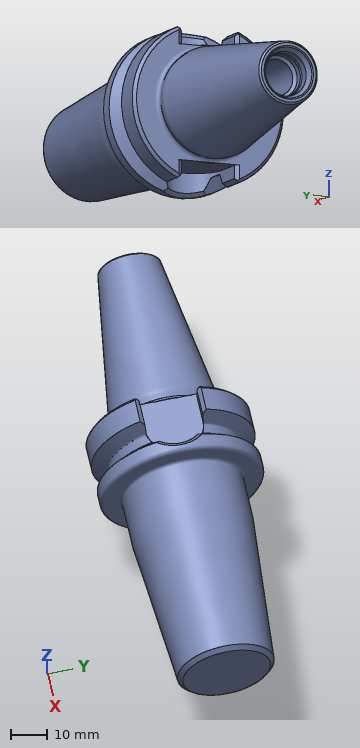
import cadquery as cq
import math


taper_ratio = 7 / 24
gauge_radius = 31.75 / 2
gauge_x = 48.4
taper_end_x = 46.5
tail_chamfer = 0.5
total_length = gauge_x + 80.0

relief_radius = 15.3
relief_start_x = 47.6
relief_fillet = 1.2

flange_radius = 23.0
flange_start_x = gauge_x + 2.0
flange_end_x = gauge_x + 22.0
flange_front_chamfer = 0.9
flange_rear_fillet = 1.2
groove_radius = 18.9
groove_rim_start_x = 58.05
groove_rim_end_x = 65.9
groove_wall_angle = math.radians(30.0)
groove_fillet = 0.5

nose_radius = 17.0
nose_cone_x = 83.9
nose_cone_angle = math.radians(4.5)
nose_chamfer = 1.2
nose_root_fillet = 0.8

keyway_width = 16.2
keyway_half = keyway_width / 2
keyway_floor_z = 16.2
keyway_end_x = 67.3
keyway_chamfer = 1.15
lead_in_length = 0.8

mouth_radius = 7.5
mouth_cone_radius = 7.1
mouth_depth = 0.2
pilot_radius = 6.25
pilot_start_x = 2.0
pilot_end_x = 4.7
thread_radius = 6.0
thread_start_x = 5.2
thread_end_x = 7.2
core_radius = 5.1
core_depth = 34.0
drill_tip_angle = math.radians(118.0)

pick_margin = 0.01


def taper_radius(x):
    return gauge_radius - (gauge_x - x) * taper_ratio / 2


def nose_cone_radius(x):
    return nose_radius - (x - nose_cone_x) * math.tan(nose_cone_angle)


def revolve_about_x(profile):
    return profile.close().revolve(360, (0, 0, 0), (1, 0, 0))


def make_body():
    groove_run = (flange_radius - groove_radius) * math.tan(groove_wall_angle)
    floor_start_x = groove_rim_start_x + groove_run
    floor_end_x = groove_rim_end_x - groove_run
    fillet_reach = groove_fillet * math.tan((math.pi / 2 - groove_wall_angle) / 2)
    wall_run = fillet_reach * math.sin(groove_wall_angle)
    wall_end_radius = groove_radius + fillet_reach * math.cos(groove_wall_angle)

    nose_chamfer_x = total_length - nose_chamfer
    profile = (
        cq.Workplane("XY")
        .moveTo(0, 0)
        .lineTo(0, taper_radius(0) - tail_chamfer)
        .lineTo(tail_chamfer, taper_radius(tail_chamfer))
        .lineTo(taper_end_x, taper_radius(taper_end_x))
        .lineTo(relief_start_x, taper_radius(taper_end_x))
        .lineTo(flange_start_x - relief_fillet, relief_radius)
        .radiusArc((flange_start_x, relief_radius + relief_fillet), -relief_fillet)
        .lineTo(flange_start_x, flange_radius - flange_front_chamfer)
        .lineTo(flange_start_x + flange_front_chamfer, flange_radius)
        .lineTo(groove_rim_start_x, flange_radius)
        .lineTo(floor_start_x - wall_run, wall_end_radius)
        .radiusArc((floor_start_x + fillet_reach, groove_radius), -groove_fillet)
        .lineTo(floor_end_x - fillet_reach, groove_radius)
        .radiusArc((floor_end_x + wall_run, wall_end_radius), -groove_fillet)
        .lineTo(groove_rim_end_x, flange_radius)
        .lineTo(flange_end_x - flange_rear_fillet, flange_radius)
        .radiusArc((flange_end_x, flange_radius - flange_rear_fillet), flange_rear_fillet)
        .lineTo(flange_end_x, nose_radius + nose_root_fillet)
        .radiusArc((flange_end_x + nose_root_fillet, nose_radius), -nose_root_fillet)
        .lineTo(nose_cone_x, nose_radius)
        .lineTo(nose_chamfer_x, nose_cone_radius(nose_chamfer_x))
        .lineTo(total_length, nose_cone_radius(total_length) - nose_chamfer)
        .lineTo(total_length, 0)
    )
    return revolve_about_x(profile)


def make_bore():
    tip_length = core_radius / math.tan(drill_tip_angle / 2)
    core_start_x = thread_end_x + thread_radius - core_radius
    profile = (
        cq.Workplane("XY")
        .moveTo(0, 0)
        .lineTo(0, mouth_radius)
        .lineTo(mouth_depth, mouth_cone_radius)
        .lineTo(pilot_start_x, pilot_radius)
        .lineTo(pilot_end_x, pilot_radius)
        .lineTo(thread_start_x, thread_radius)
        .lineTo(thread_end_x, thread_radius)
        .lineTo(core_start_x, core_radius)
        .lineTo(core_depth, core_radius)
        .lineTo(core_depth + tip_length, 0)
    )
    return revolve_about_x(profile)


def make_keyway():
    """Straight slot open at the flange's front face, with a round rear end."""
    arc_x = keyway_end_x - keyway_half
    return (
        cq.Workplane("XY", origin=(0, 0, keyway_floor_z))
        .moveTo(flange_start_x, -keyway_half)
        .lineTo(arc_x, -keyway_half)
        .threePointArc((keyway_end_x, 0), (arc_x, keyway_half))
        .lineTo(flange_start_x, keyway_half)
        .close()
        .extrude(flange_radius - keyway_floor_z)
    )


def make_keyway_bevels():
    """Chamfers along the keyway's straight top edges and its front corners."""
    bevel_half = keyway_half + keyway_chamfer
    bevel_top_z = math.sqrt(flange_radius**2 - bevel_half**2)
    bevel_bottom_z = bevel_top_z - keyway_chamfer
    top_bevel = (
        cq.Workplane("YZ", origin=(flange_start_x, 0, 0))
        .moveTo(-keyway_half, bevel_bottom_z)
        .lineTo(keyway_half, bevel_bottom_z)
        .lineTo(bevel_half, bevel_top_z)
        .lineTo(bevel_half, flange_radius)
        .lineTo(-bevel_half, flange_radius)
        .lineTo(-bevel_half, bevel_top_z)
        .close()
        .extrude(keyway_end_x - keyway_half - flange_start_x)
    )
    lead_in_x = flange_start_x + lead_in_length
    lead_in = (
        cq.Workplane("XY", origin=(0, 0, keyway_floor_z))
        .moveTo(flange_start_x, -bevel_half)
        .lineTo(lead_in_x, -keyway_half)
        .lineTo(lead_in_x, keyway_half)
        .lineTo(flange_start_x, bevel_half)
        .close()
        .extrude(flange_radius - keyway_floor_z)
    )
    return top_bevel.union(lead_in)


def chamfer_keyway_end(body):
    """Chamfer the round end of the +Z keyway where it breaks through the rear collar."""
    collar_rim = cq.selectors.BoxSelector(
        (groove_rim_end_x - pick_margin, -keyway_half, groove_radius),
        (keyway_end_x + pick_margin, keyway_half, flange_radius + pick_margin),
        boundingbox=True,
    )
    return body.edges(collar_rim).chamfer(keyway_chamfer)


def cut_top_keyway(body):
    body = chamfer_keyway_end(body.cut(make_keyway()))
    return body.cut(make_keyway_bevels())


result = make_body().cut(make_bore())
for side in range(2):
    result = cut_top_keyway(result).rotate((0, 0, 0), (1, 0, 0), 180)